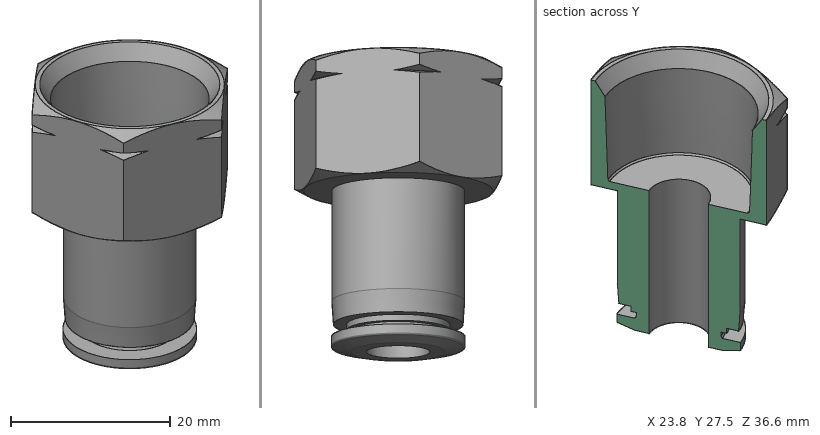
import cadquery as cq
import math

total_length = 36.6
across_flats = 23.83
across_corners = across_flats / math.cos(math.radians(30))
corner_radius = across_corners / 2
hex_height = 16.0
hex_bottom = total_length - hex_height
hex_chamfer_diameter = 23.75
hex_chamfer_angle = 30
hex_chamfer_drop = (corner_radius - hex_chamfer_diameter / 2) * math.tan(math.radians(hex_chamfer_angle))

groove_center = total_length - 3.0
groove_half_width = 0.5
groove_depth = 1.35

shank_radius = 16.7 / 2
shank_end_radius = 16.3 / 2
shank_taper_top = 6.45
shank_bottom = 3.5
collar_radius = 13.0 / 2
collar_bottom = 2.75
neck_radius = 11.53 / 2
neck_foot_radius = 11.9 / 2
neck_foot_top = 2.25
flange_radius = 16.8 / 2
flange_top = 1.9
flange_rim_bottom = 0.75
flange_round = 0.2
flange_face_radius = 5.93

mouth_radius = 22.62 / 2
socket_radius = 19.95 / 2
mouth_depth = 2.05
socket_depth = 14.8
socket_floor = total_length - socket_depth
socket_taper = 1 / 16
floor_edge_radius = socket_radius - (socket_depth - mouth_depth) * socket_taper / 2
floor_radius = 18.7 / 2
floor_bevel = floor_edge_radius - floor_radius
hole_radius = 8.0 / 2


def revolve_profile(points):
    """Revolve a closed (radius, height) outline about the Z axis."""
    return cq.Workplane("XZ").polyline(points).close().revolve(360, (0, 0, 0), (0, 1, 0))


def make_hexagon():
    """Hexagon with corners on the Y axis, bevelled ends and a corner groove."""
    prism = (
        cq.Workplane("XY", origin=(0, 0, hex_bottom))
        .polygon(6, across_corners)
        .extrude(hex_height)
        .rotate((0, 0, 0), (0, 0, 1), 30)
    )
    envelope = revolve_profile([
        (0, hex_bottom),
        (hex_chamfer_diameter / 2, hex_bottom),
        (corner_radius, hex_bottom + hex_chamfer_drop),
        (corner_radius, groove_center - groove_half_width),
        (corner_radius - groove_depth, groove_center),
        (corner_radius, groove_center + groove_half_width),
        (corner_radius, total_length - hex_chamfer_drop),
        (hex_chamfer_diameter / 2, total_length),
        (0, total_length),
    ])
    return prism.intersect(envelope)


def make_stem():
    """Turned lower portion, from the flange face up into the hexagon."""
    diagonal = math.sqrt(0.5)
    round_middle = (
        flange_radius - flange_round * (1 - diagonal),
        flange_rim_bottom - flange_round * diagonal,
    )
    profile = (
        cq.Workplane("XZ")
        .moveTo(0, 0)
        .lineTo(flange_face_radius, 0)
        .lineTo(flange_radius - flange_round, flange_rim_bottom - flange_round)
        .threePointArc(round_middle, (flange_radius, flange_rim_bottom))
        .lineTo(flange_radius, flange_top)
        .lineTo(neck_foot_radius, flange_top)
        .lineTo(neck_radius, neck_foot_top)
        .lineTo(neck_radius, collar_bottom)
        .lineTo(collar_radius, collar_bottom)
        .lineTo(collar_radius, shank_bottom)
        .lineTo(shank_end_radius, shank_bottom)
        .lineTo(shank_radius, shank_taper_top)
        .lineTo(shank_radius, hex_bottom)
        .lineTo(0, hex_bottom)
        .close()
    )
    return profile.revolve(360, (0, 0, 0), (0, 1, 0))


def make_bore():
    """Flared, tapered socket that continues as a plain through hole."""
    return revolve_profile([
        (0, 0),
        (hole_radius, 0),
        (hole_radius, socket_floor),
        (floor_radius, socket_floor),
        (floor_edge_radius, socket_floor + floor_bevel),
        (socket_radius, total_length - mouth_depth),
        (mouth_radius, total_length),
        (0, total_length),
    ])


result = make_hexagon().union(make_stem()).cut(make_bore())